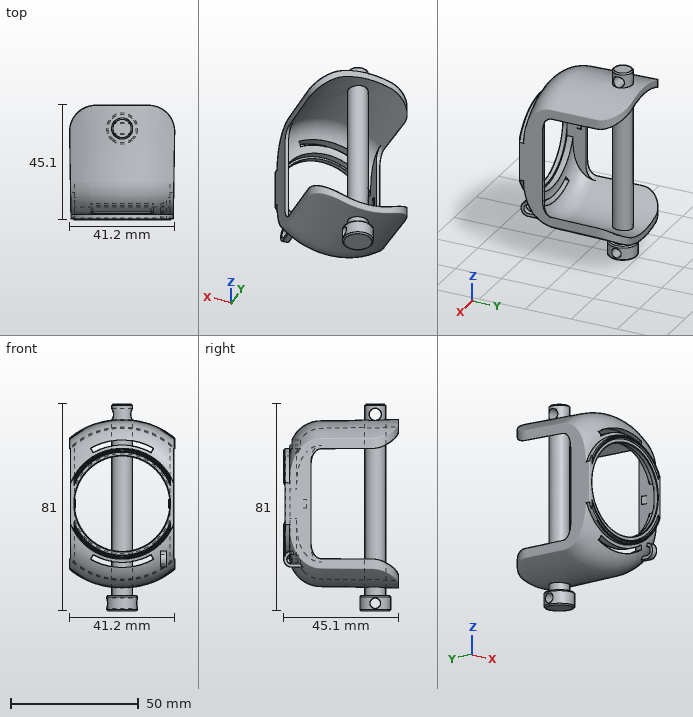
import cadquery as cq
import math


DRAFT = math.tan(math.radians(0.9))
BACK_Y = 9.15
BEND_Y = -21.0
DOME_RADIUS = 32.6
BEND_RADIUS = 12.8
WALL = 3.0
HALF_WIDTH = 41.2 / 2
CORNER_RADIUS = 10.4
WEB_INNER_X = 18.7
WEB_BACK_Y = -25.1
WEB_FILLET = 4.1
EDGE_FILLET = 0.3
TRIM_MARGIN = 8.1

RING_RADIUS = 21.7
RING_FRONT_Y = -35.4
BORE_RADIUS = 18.7
BORE_CHAMFER = 0.25
LIP_BACK_Y = -33.4
RECESS_RADIUS = 19.6
BEAD_HEIGHT = 0.5
BEAD_BASE_RADII = (20.2, 21.4)
BEAD_TOP_RADII = (20.6, 21.0)
BEAD_HALF_LENGTH = 18.9

SLOT_RADII = (23.0, 24.95)
SLOT_HALF_ANGLE = math.radians(29.5)

WEDGE_BACK_Y = -27.0
WEDGE_LENGTH = 2.1
WEDGE_RISE = 0.5
WEDGE_HEIGHT = 3.2

LOOP_X = 16.3
LOOP_Y = -32.7
LOOP_Z = -21.7
LOOP_WIDTH = 2.35
LOOP_OUTER_RADIUS = 3.15
LOOP_INNER_RADIUS = 1.9
LOOP_LEG = 4.4

PIN_RADIUS = 4.1
PIN_TOP_Z = 39.0
PIN_LENGTH = 81.0
HEAD_RADIUS = 6.1
HEAD_HEIGHT = 6.15
PIN_CHAMFER = 0.6
TOP_HOLE_RADIUS = 2.35
TOP_HOLE_DROP = 4.0
HEAD_HOLE_RADIUS = 2.0

DOME_FRONT_Y = BEND_Y - BEND_RADIUS


def centred_box(x_size, y_min, y_max, z_size):
    """Box centred on X = 0 and Z = 0 between two Y positions."""
    return cq.Workplane("XY").box(x_size, y_max - y_min, z_size).translate((0, (y_min + y_max) / 2, 0))


def domed_cup(bend_outer_radius, bend_y, bend_radius, back_y):
    """Solid cup about Y: a rounded front, then a slightly flaring wall up to back_y."""
    diagonal = bend_radius * math.sqrt(0.5)
    centre_radius = bend_outer_radius - bend_radius
    return (
        cq.Workplane("XY")
        .moveTo(0, bend_y - bend_radius)
        .lineTo(centre_radius, bend_y - bend_radius)
        .threePointArc((centre_radius + diagonal, bend_y - diagonal), (bend_outer_radius, bend_y))
        .lineTo(bend_outer_radius + (back_y - bend_y) * DRAFT, back_y)
        .lineTo(0, back_y)
        .close()
        .revolve(360, (0, 0), (0, 1))
    )


def y_cylinder(radius, y_min, y_max):
    """Cylinder about Y between two Y positions."""
    return cq.Workplane("XZ", origin=(0, y_max, 0)).circle(radius).extrude(y_max - y_min)


def housing_outline():
    """Tapered block with two rounded back corners that trims the shell."""
    corner_y = BACK_Y - CORNER_RADIUS
    front_y = RING_FRONT_Y - TRIM_MARGIN
    back_half = HALF_WIDTH + (BACK_Y - corner_y) * DRAFT
    front_half = HALF_WIDTH - (corner_y - front_y) * DRAFT
    return (
        cq.Workplane("XY")
        .polyline([(-front_half, front_y), (front_half, front_y), (back_half, BACK_Y), (-back_half, BACK_Y)])
        .close()
        .extrude(DOME_RADIUS + TRIM_MARGIN, both=True)
        .edges("|Z and >Y")
        .fillet(CORNER_RADIUS)
    )


def housing_cavity():
    """Hollow of the shell: narrowed between the side webs, full width behind them."""
    inner_radius = DOME_RADIUS - WALL
    back_y = BACK_Y + TRIM_MARGIN
    shell_hollow = domed_cup(inner_radius, BEND_Y, BEND_RADIUS - WALL, back_y)
    between_webs = centred_box(2 * WEB_INNER_X, DOME_FRONT_Y, back_y, 4 * DOME_RADIUS)
    behind_webs = domed_cup(inner_radius, WEB_BACK_Y + WEB_FILLET, WEB_FILLET, back_y)
    return shell_hollow.intersect(between_webs).union(behind_webs)


def window_bead():
    """Trapezoidal bead on the ring face, interrupted at both sides."""
    top_y = RING_FRONT_Y - BEAD_HEIGHT
    bead = (
        cq.Workplane("XY")
        .polyline([
            (BEAD_BASE_RADII[0], RING_FRONT_Y),
            (BEAD_TOP_RADII[0], top_y),
            (BEAD_TOP_RADII[1], top_y),
            (BEAD_BASE_RADII[1], RING_FRONT_Y),
        ])
        .close()
        .revolve(360, (0, 0), (0, 1))
    )
    return bead.intersect(centred_box(2 * BEAD_HALF_LENGTH, top_y, RING_FRONT_Y, 4 * RING_RADIUS))


def window_bore():
    """Through bore of the window with a chamfered front rim, widened behind its lip."""
    bore = y_cylinder(BORE_RADIUS, RING_FRONT_Y, WEB_BACK_Y)
    rim = (
        cq.Workplane("XZ", origin=(0, RING_FRONT_Y + BORE_CHAMFER, 0))
        .circle(BORE_RADIUS)
        .workplane(offset=BORE_CHAMFER)
        .circle(BORE_RADIUS + BORE_CHAMFER)
        .loft()
    )
    recess = y_cylinder(RECESS_RADIUS, LIP_BACK_Y, WEB_BACK_Y).intersect(
        centred_box(2 * WEB_INNER_X, LIP_BACK_Y, WEB_BACK_Y, 4 * RECESS_RADIUS)
    )
    return bore.union(rim).union(recess)


def arc_slot(side):
    """Slot concentric with the window; side is +1 above it and -1 below it."""
    inner, outer = SLOT_RADII
    end_x = math.sin(SLOT_HALF_ANGLE)
    end_z = side * math.cos(SLOT_HALF_ANGLE)
    return (
        cq.Workplane("XZ", origin=(0, WEB_BACK_Y, 0))
        .moveTo(-inner * end_x, inner * end_z)
        .threePointArc((0, side * inner), (inner * end_x, inner * end_z))
        .lineTo(outer * end_x, outer * end_z)
        .threePointArc((0, side * outer), (-outer * end_x, outer * end_z))
        .close()
        .extrude(WEB_BACK_Y - DOME_FRONT_Y)
    )


def snap_wedge(side):
    """Ramp on the inner face of a side web, rising towards the back."""
    face_x = side * WEB_INNER_X
    return (
        cq.Workplane("XY")
        .polyline([
            (face_x, WEDGE_BACK_Y - WEDGE_LENGTH),
            (face_x, WEDGE_BACK_Y),
            (face_x - side * WEDGE_RISE, WEDGE_BACK_Y),
        ])
        .close()
        .extrude(WEDGE_HEIGHT / 2, both=True)
    )


def loop_block(radius):
    """Round-nosed block along X with straight legs running back."""
    leg = cq.Workplane("XY").box(LOOP_WIDTH, LOOP_LEG, 2 * radius).translate((0, LOOP_LEG / 2, 0))
    nose = cq.Workplane("YZ").circle(radius).extrude(LOOP_WIDTH / 2, both=True)
    return leg.union(nose)


def strap_loop():
    """U-shaped loop standing out of the dome, open along X."""
    loop = loop_block(LOOP_OUTER_RADIUS).cut(loop_block(LOOP_INNER_RADIUS))
    return loop.translate((LOOP_X, LOOP_Y, LOOP_Z))


def make_housing():
    """Trimmed shell with its window ring, slots, snap wedges, strap loop and pin hole."""
    outline = housing_outline()
    shell = domed_cup(DOME_RADIUS, BEND_Y, BEND_RADIUS, BACK_Y).intersect(outline)
    shell = shell.faces("<X or >X or >Y").edges("not |Z").fillet(EDGE_FILLET)
    ring = y_cylinder(RING_RADIUS, RING_FRONT_Y, BEND_Y).intersect(outline)
    ring = ring.faces("<Y").edges().fillet(EDGE_FILLET)
    body = shell.union(ring).union(strap_loop()).union(window_bead())
    body = body.cut(housing_cavity()).cut(window_bore())
    for side in (1, -1):
        body = body.cut(arc_slot(side)).union(snap_wedge(side))
    pin_hole = cq.Workplane("XY").circle(PIN_RADIUS).extrude(DOME_RADIUS + TRIM_MARGIN, both=True)
    return body.cut(pin_hole)


def cross_hole(radius, z):
    """Cutter along X through the pin at height z."""
    return cq.Workplane("YZ").center(0, z).circle(radius).extrude(2 * HEAD_RADIUS, both=True)


def make_pin():
    """Headed pin with a hole along X through each end."""
    bottom_z = PIN_TOP_Z - PIN_LENGTH
    head = (
        cq.Workplane("XY", origin=(0, 0, bottom_z))
        .circle(HEAD_RADIUS)
        .extrude(HEAD_HEIGHT)
        .edges()
        .chamfer(PIN_CHAMFER)
    )
    shank = (
        cq.Workplane("XY", origin=(0, 0, bottom_z))
        .circle(PIN_RADIUS)
        .extrude(PIN_LENGTH)
        .faces(">Z")
        .edges()
        .chamfer(PIN_CHAMFER)
    )
    top_hole = cross_hole(TOP_HOLE_RADIUS, PIN_TOP_Z - TOP_HOLE_DROP)
    head_hole = cross_hole(HEAD_HOLE_RADIUS, bottom_z + HEAD_HEIGHT / 2)
    return head.union(shank).cut(top_hole).cut(head_hole)


housing = make_housing()
pin = make_pin()

result = cq.Compound.makeCompound([housing.solids().val(), pin.solids().val()])